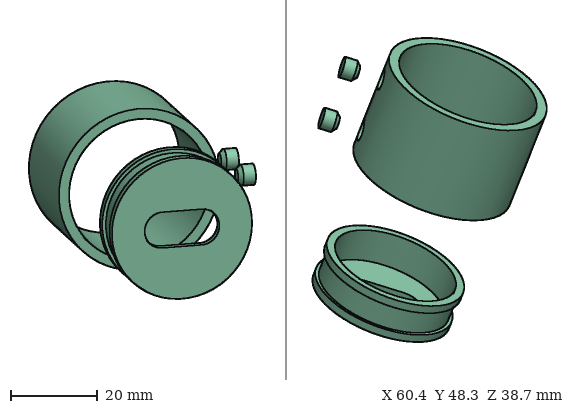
import cadquery as cq

total_length = 60.4
total_depth = 48.3

sleeve_diameter = 38.7
sleeve_bore = 33.75
sleeve_length = 25.0

cap_diameter = sleeve_bore
cap_bore = 29.7
cap_length = 10.0
groove_diameter = 32.0
flange_width = 2.0
floor_thickness = 1.8
slot_length = 18.0
slot_height = 8.6

screw_diameter = 5.0
screw_length = 4.0
screw_chamfer = 1.0
screw_end_offset = 5.45

cap_start = total_length - cap_length
screw_outer_y = total_depth - sleeve_diameter / 2
screw_positions = [screw_end_offset, sleeve_length - screw_end_offset]


def x_cylinder(diameter, start, length):
    """Solid cylinder on the X axis."""
    return cq.Workplane("YZ", origin=(start, 0, 0)).circle(diameter / 2).extrude(length)


def y_cylinder(diameter, x, outer_y, length):
    """Solid cylinder running from outer_y toward -Y."""
    return cq.Workplane("XZ", origin=(x, outer_y, 0)).circle(diameter / 2).extrude(length)


def make_sleeve():
    """Plain tube with two radial screw holes through one wall."""
    sleeve = x_cylinder(sleeve_diameter, 0, sleeve_length)
    sleeve = sleeve.cut(x_cylinder(sleeve_bore, 0, sleeve_length))
    for x in screw_positions:
        sleeve = sleeve.cut(y_cylinder(screw_diameter, x, sleeve_diameter / 2, sleeve_diameter / 2))
    return sleeve


def make_cap():
    """Cup open toward the sleeve, with an outer groove and a slotted floor."""
    cap = x_cylinder(cap_diameter, cap_start, cap_length)
    cap = cap.cut(x_cylinder(cap_bore, cap_start, cap_length - floor_thickness))

    groove_start = cap_start + flange_width
    groove_width = cap_length - 2 * flange_width
    groove = x_cylinder(cap_diameter, groove_start, groove_width).cut(
        x_cylinder(groove_diameter, groove_start, groove_width)
    )

    slot = (
        cq.Workplane("YZ", origin=(total_length - floor_thickness, 0, 0))
        .slot2D(slot_length, slot_height)
        .extrude(floor_thickness)
    )
    return cap.cut(groove).cut(slot)


def make_screw(x):
    """Set screw with a chamfered tip pointing at the sleeve."""
    screw = y_cylinder(screw_diameter, x, screw_outer_y, screw_length)
    return screw.faces("<Y").chamfer(screw_chamfer)


sleeve = make_sleeve()
cap = make_cap()
screws = [make_screw(x) for x in screw_positions]

result = cq.Compound.makeCompound([sleeve.val(), cap.val(), *[screw.val() for screw in screws]])